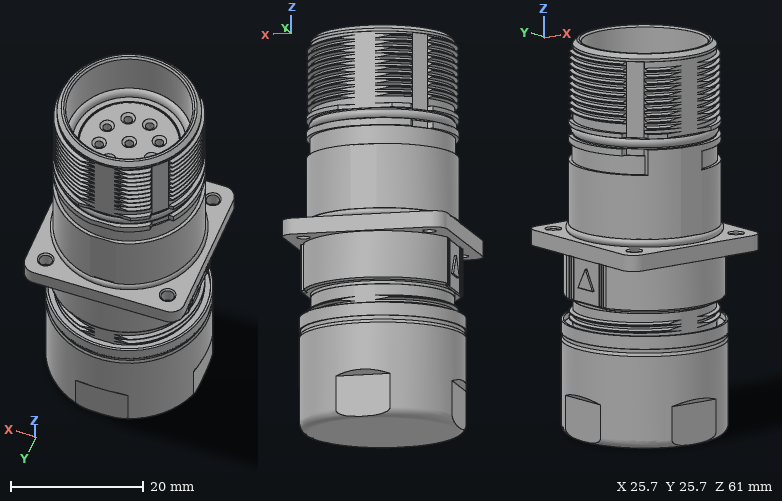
import cadquery as cq
import math

NUT_TOP = 17.6
NECK_BOTTOM = 15.85
COLLAR_BOTTOM = 21.3
FLANGE_BOTTOM = 28.7
FLANGE_TOP = 31.2
SLEEVE_BOTTOM = 32.4
RECESS_BOTTOM = 42.35
LOWER_LIP_BOTTOM = 45.3
SEAL_BOTTOM = 46.3
SEAL_TOP = 48.0
UPPER_LIP_TOP = 48.7
TOP = 60.95

ROOT_RADIUS = 10.9
CREST_RADIUS = 11.45
SLEEVE_RADIUS = 11.6
THREAD_FLAT = 10.8
SLEEVE_FLAT = 11.4
REACH = 18.3

NUT_RADIUS = 12.7
NUT_FLAT = 11.95
NUT_FLAT_TOP = 6.6
NUT_BOTTOM_ROUND = 1.4
NUT_GROOVE_DEPTH = 0.2
NUT_GROOVE_BOTTOM = 14.5
NUT_GROOVE_TOP = 15.6
NUT_GROOVE_SLOPE_TOP = 15.0
NUT_MOUTH_RADIUS = 12.3
NUT_MOUTH_DEPTH = 0.9

COLLAR_RADIUS = 12.3
COLLAR_CHAMFER = 0.3
MARK_FLAT = 11.35
MARK_PANEL_HALF = 3.1
MARK_PANEL_DEPTH = 0.1
MARK_GROOVE_NEAR = 3.6
MARK_GROOVE_WIDTH = 0.6
MARK_GROOVE_DEPTH = 0.2
ARROW_FACE = 11.5
ARROW_BASE_Z = 23.65
ARROW_TIP_Z = 26.8
ARROW_HALF = 1.75
KEY_FLAT = 10.9
KEY_FACE = 11.7
KEY_HALF = 4.9
KEY_CHAMFER = 0.275

FLANGE_SIDE = 25.7
FLANGE_CORNER = 2.15
BOLT_SPACING = 19.7
BOLT_HOLE = 2.0
BOLT_HOLE_CHAMFER = 0.25

SEAL_RADIUS = 11.2
BASE_RING_RADIUS = 11.95

RECESS_RADIUS = 11.05
RECESS_WALL_LEFT = -6.8
RECESS_WALL_RIGHT = 2.0
NOTCH_X = 6.8
NOTCH_Y = 6.5
NOTCH_FLOOR = 1.9

TOOTH_BASE = 0.75
TOOTH_CREST = 0.15
ROOT_OVERLAP = 0.05
UPPER_THREAD_START = 49.5
UPPER_THREAD_END = 59.5
UPPER_TURNS = 10
PITCH = (UPPER_THREAD_END - UPPER_THREAD_START) / UPPER_TURNS
UPPER_FLAT_TOP = 59.85
LOWER_FLAT_TOP = 20.8
SHOULDER_RADIUS = 11.0
LOWER_THREAD_START = 17.4
LOWER_TURNS = 2
UPPER_BREAKS = (225, 270, 450, 495, 585)
LOWER_BREAKS = (340, 450, 630, 700)

MOUTH_CHAMFER = 0.3
RIM_CHAMFER = 0.7
BORE_RADIUS = 9.6
BORE_FLOOR = 52.6
BEAD_RADIUS = 1.0
INSERT_RADIUS = 7.8
INSERT_GAP = 0.2
CONTACT_CIRCLE = 4.6
CONTACT_COUNT = 8
CONTACT_HOLE = 1.3
CONTACT_MOUTH = 2.2
CONTACT_CONE_DEPTH = 0.35
CONTACT_DEPTH = 4.9


def cylinder(radius, bottom, top):
    return cq.Workplane("XY").workplane(offset=bottom).circle(radius).extrude(top - bottom)


def block(x_range, y_range, z_range):
    size = [high - low for low, high in (x_range, y_range, z_range)]
    corner = (x_range[0], y_range[0], z_range[0])
    return cq.Workplane("XY").box(*size, centered=False).translate(corner)


def rounded_ring(radius, bottom, top, core):
    """Disc with a half-round rim of the given outer radius."""
    half = (top - bottom) / 2
    return (
        cq.Workplane("XZ").moveTo(0, bottom).lineTo(radius - half, bottom)
        .threePointArc((radius, bottom + half), (radius - half, top))
        .lineTo(0, top).close().revolve(360, (0, 0), (0, 1))
        .union(cylinder(core, bottom, top))
    )


def tooth(height, first_angle, last_angle):
    """Piece of right-hand thread tooth that passes the given height at its first angle."""
    inner = ROOT_RADIUS - ROOT_OVERLAP
    turns = (last_angle - first_angle) / 360
    path = cq.Wire.makeHelix(PITCH, turns * PITCH, inner)
    piece = (
        cq.Workplane("XZ")
        .polyline([
            (inner, -TOOTH_BASE / 2), (CREST_RADIUS, -TOOTH_CREST / 2),
            (CREST_RADIUS, TOOTH_CREST / 2), (inner, TOOTH_BASE / 2),
        ]).close().sweep(cq.Workplane(path), isFrenet=True)
    )
    return piece.rotate((0, 0, 0), (0, 0, 1), first_angle).translate((0, 0, height))


def add_thread(core, start, turns, breaks, outline):
    """Wind a thread on the core; each piece runs between two breaks and is trimmed by the outline."""
    pieces = []
    for first, last in zip(breaks, breaks[1:]):
        height = start + PITCH * (first - breaks[0]) / 360
        piece = tooth(height, first, last).intersect(outline).val()
        pieces += [piece.translate(cq.Vector(0, 0, PITCH * turn)) for turn in range(turns)]
    return cq.Workplane(core.val().fuse(*pieces))


def between_y_flats(distance, bottom, top):
    return block((-REACH, REACH), (-distance, distance), (bottom, top))


def gland_nut():
    nut = cylinder(NUT_RADIUS, 0, NUT_TOP).faces("<Z").edges().fillet(NUT_BOTTOM_ROUND)
    groove_floor = NUT_RADIUS - NUT_GROOVE_DEPTH
    groove = (
        cq.Workplane("XZ")
        .polyline([
            (NUT_RADIUS, NUT_GROOVE_TOP), (groove_floor, NUT_GROOVE_TOP),
            (groove_floor, NUT_GROOVE_SLOPE_TOP), (NUT_RADIUS, NUT_GROOVE_BOTTOM),
        ]).close().revolve(360, (0, 0), (0, 1))
    )
    mouth = cylinder(NUT_MOUTH_RADIUS, NUT_TOP - NUT_MOUTH_DEPTH, NUT_TOP)
    nut = nut.cut(groove).cut(mouth)
    run = REACH - NUT_FLAT
    flat_cut = (
        cq.Workplane("XZ")
        .polyline([(NUT_FLAT, 0), (REACH, 0), (REACH, NUT_FLAT_TOP + run), (NUT_FLAT, NUT_FLAT_TOP)])
        .close().extrude(REACH, both=True)
    )
    for side in range(4):
        nut = nut.cut(flat_cut.rotate((0, 0, 0), (0, 0, 1), 90 * side))
    return nut


def collar():
    levels = (COLLAR_BOTTOM, FLANGE_BOTTOM)
    body = cylinder(COLLAR_RADIUS, *levels)
    body = body.intersect(block((-MARK_FLAT, KEY_FLAT), (-REACH, REACH), levels))
    key = block((0, KEY_FACE), (-KEY_HALF, KEY_HALF), levels).edges(">X and |Z").chamfer(KEY_CHAMFER)
    body = body.union(key).faces("<Z").edges().chamfer(COLLAR_CHAMFER)

    panel_face = MARK_FLAT - MARK_PANEL_DEPTH
    body = body.cut(block((-REACH, -panel_face), (-MARK_PANEL_HALF, MARK_PANEL_HALF), levels))
    groove_face = MARK_FLAT - MARK_GROOVE_DEPTH
    groove = block((-REACH, -groove_face),
                   (MARK_GROOVE_NEAR, MARK_GROOVE_NEAR + MARK_GROOVE_WIDTH), levels)
    body = body.cut(groove).cut(groove.mirror("XZ"))
    arrow = (
        cq.Workplane("YZ").workplane(offset=-ARROW_FACE)
        .polyline([(-ARROW_HALF, ARROW_BASE_Z), (ARROW_HALF, ARROW_BASE_Z), (0, ARROW_TIP_Z)])
        .close().extrude(ARROW_FACE - ROOT_RADIUS)
    )
    return body.union(arrow)


def flange():
    plate = (
        cq.Workplane("XY").workplane(offset=FLANGE_BOTTOM).rect(FLANGE_SIDE, FLANGE_SIDE)
        .extrude(FLANGE_TOP - FLANGE_BOTTOM).edges("|Z").fillet(FLANGE_CORNER)
    )
    return (
        plate.faces(">Z").workplane().rect(BOLT_SPACING, BOLT_SPACING, forConstruction=True).vertices()
        .cskHole(BOLT_HOLE, BOLT_HOLE + 2 * BOLT_HOLE_CHAMFER, 90)
    )


def sleeve():
    body = cylinder(SLEEVE_RADIUS, SLEEVE_BOTTOM, SEAL_BOTTOM)
    body = body.intersect(between_y_flats(SLEEVE_FLAT, SLEEVE_BOTTOM, SEAL_BOTTOM))
    recess = cylinder(REACH, RECESS_BOTTOM, LOWER_LIP_BOTTOM)
    recess = recess.cut(cylinder(RECESS_RADIUS, RECESS_BOTTOM, LOWER_LIP_BOTTOM)).cut(
        block((RECESS_WALL_LEFT, RECESS_WALL_RIGHT), (-REACH, 0), (RECESS_BOTTOM, LOWER_LIP_BOTTOM)))
    return body.cut(recess)


def coupling_notches(bottom, top):
    """Cutters on the two -X diagonals: two walls at right angles joined by a sloping floor."""
    corner = (
        cq.Workplane("XY").workplane(offset=bottom)
        .polyline([
            (-NOTCH_X, -NOTCH_Y - NOTCH_FLOOR), (-NOTCH_X - NOTCH_FLOOR, -NOTCH_Y),
            (-REACH, -NOTCH_Y), (-REACH, -REACH), (-NOTCH_X, -REACH),
        ]).close().extrude(top - bottom)
    )
    return corner.union(corner.mirror("XZ"))


def threaded_end():
    levels = (SEAL_TOP, UPPER_FLAT_TOP)
    outline = between_y_flats(THREAD_FLAT, *levels).cut(coupling_notches(*levels))
    rim = cylinder(SHOULDER_RADIUS, UPPER_FLAT_TOP, TOP).faces(">Z").edges().chamfer(RIM_CHAMFER)
    core = (
        cylinder(ROOT_RADIUS, *levels)
        .union(cylinder(SLEEVE_RADIUS, SEAL_TOP, UPPER_LIP_TOP))
        .intersect(outline)
        .union(rim)
        .cut(socket())
        .cut(contact_holes())
    )
    return add_thread(core, UPPER_THREAD_START, UPPER_TURNS, UPPER_BREAKS, outline)


def threaded_neck():
    levels = (NECK_BOTTOM, LOWER_FLAT_TOP)
    outline = between_y_flats(THREAD_FLAT, *levels)
    core = cylinder(ROOT_RADIUS, *levels).intersect(outline)
    core = core.union(cylinder(SHOULDER_RADIUS, LOWER_FLAT_TOP, COLLAR_BOTTOM))
    return add_thread(core, LOWER_THREAD_START, LOWER_TURNS, LOWER_BREAKS, outline)


def socket():
    """Bore with a rounded bead at its foot and a narrow gap around the contact insert."""
    bead_inner = BORE_RADIUS - BEAD_RADIUS
    bead_mid = BEAD_RADIUS * math.sqrt(0.5)
    bore = (
        cq.Workplane("XZ").moveTo(0, BORE_FLOOR).lineTo(BORE_RADIUS, BORE_FLOOR)
        .lineTo(BORE_RADIUS, TOP - MOUTH_CHAMFER).lineTo(BORE_RADIUS + MOUTH_CHAMFER, TOP)
        .lineTo(0, TOP).close().revolve(360, (0, 0), (0, 1))
    )
    bead = (
        cq.Workplane("XZ").moveTo(BORE_RADIUS, BORE_FLOOR).lineTo(bead_inner, BORE_FLOOR)
        .threePointArc((BORE_RADIUS - bead_mid, BORE_FLOOR + bead_mid),
                       (BORE_RADIUS, BORE_FLOOR + BEAD_RADIUS))
        .close().revolve(360, (0, 0), (0, 1))
    )
    gap = cylinder(INSERT_RADIUS, BORE_FLOOR - INSERT_GAP, BORE_FLOOR).cut(
        cylinder(INSERT_RADIUS - INSERT_GAP, BORE_FLOOR - INSERT_GAP, BORE_FLOOR))
    return bore.cut(bead).union(gap)


def contact_holes():
    hole = (
        cq.Workplane("XZ")
        .polyline([
            (0, BORE_FLOOR), (CONTACT_MOUTH / 2, BORE_FLOOR),
            (CONTACT_HOLE / 2, BORE_FLOOR - CONTACT_CONE_DEPTH),
            (CONTACT_HOLE / 2, BORE_FLOOR - CONTACT_DEPTH), (0, BORE_FLOOR - CONTACT_DEPTH),
        ]).close().revolve(360, (0, 0), (0, 1))
    )
    holes = hole
    step = 360 / CONTACT_COUNT
    for index in range(CONTACT_COUNT):
        outer = hole.translate((CONTACT_CIRCLE, 0, 0))
        holes = holes.union(outer.rotate((0, 0, 0), (0, 0, 1), step * (index + 0.5)))
    return holes


lower_body = (
    gland_nut()
    .union(collar())
    .union(flange())
    .union(rounded_ring(BASE_RING_RADIUS, FLANGE_TOP, SLEEVE_BOTTOM, ROOT_RADIUS))
    .union(sleeve())
    .cut(coupling_notches(LOWER_LIP_BOTTOM, SEAL_BOTTOM))
    .union(rounded_ring(SEAL_RADIUS, SEAL_BOTTOM, SEAL_TOP, ROOT_RADIUS))
    .cut(contact_holes())
)
result = lower_body.union(threaded_neck()).union(threaded_end())